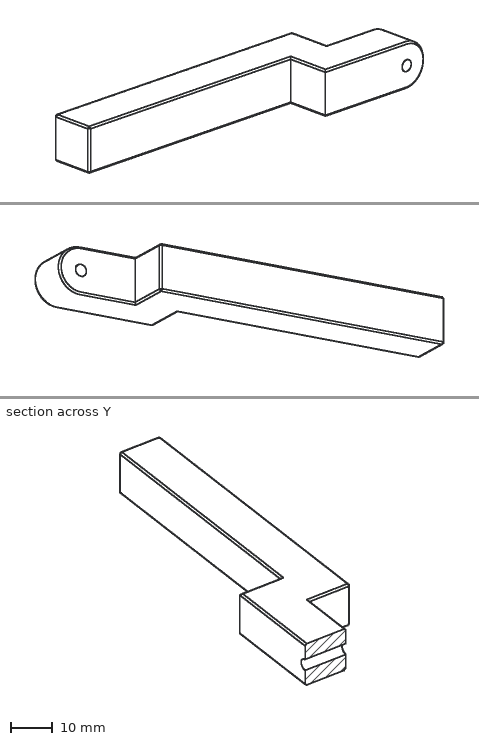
import cadquery as cq

bar = 12.0
length = 100.0
arm_length = 79.0
hole_diameter = 3.0
edge_break = 0.5

step_y = arm_length - bar
pivot_y = length - bar / 2


def cranked_bar():
    """Z-shaped bar with its lower edge on Z = 0 and a square far end."""
    outline = [
        (0, 0),
        (bar, 0),
        (bar, step_y),
        (2 * bar, step_y),
        (2 * bar, length),
        (bar, length),
        (bar, arm_length),
        (0, arm_length),
    ]
    return cq.Workplane("XY").polyline(outline).close().extrude(bar)


def pivot_hole():
    """Cylinder along X through the short arm."""
    return (
        cq.Workplane("YZ", origin=(bar, pivot_y, bar / 2))
        .circle(hole_diameter / 2)
        .extrude(bar)
    )


def side_slab():
    """Slab of the full width with a half-round far end."""
    return (
        cq.Workplane("YZ")
        .lineTo(pivot_y, 0)
        .threePointArc((length, bar / 2), (pivot_y, bar))
        .lineTo(0, bar)
        .close()
        .extrude(2 * bar)
    )


def upright_edge(x, y):
    """Selector for the upright edge of the crank at the given plan position."""
    reach = edge_break
    middle = bar / 2
    return cq.selectors.BoxSelector(
        (x - reach, y - reach, middle - reach),
        (x + reach, y + reach, middle + reach),
    )


def break_edges(body):
    """Chamfer all edges but the upright inside corners and the near outer corner of the short arm."""
    inside_corners = upright_edge(bar, step_y) + upright_edge(bar, arm_length)
    sharp_corner = upright_edge(2 * bar, step_y)
    return body.edges(-(inside_corners + sharp_corner)).chamfer(edge_break)


body = cranked_bar().intersect(side_slab())
body = break_edges(body)
result = body.cut(pivot_hole())